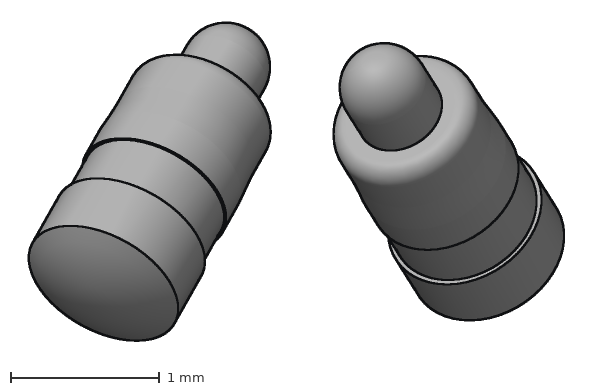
import cadquery as cq
import math


flange_radius = 0.55
body_radius = 0.515
ring_radius = 0.53
plunger_radius = 0.30

dome_height = 0.15
flange_end = 0.60
ring_start = 1.00
ring_end = 1.25
taper_end = 1.50
body_end = 1.88
total_length = 2.50

shoulder_fillet = 0.125
plunger_end = total_length - plunger_radius


def dome_midpoint():
    """Point halfway along the base arc, from the axis to the flange rim."""
    sphere_radius = (flange_radius**2 + dome_height**2) / (2 * dome_height)
    half_angle = math.asin(flange_radius / sphere_radius) / 2
    return (sphere_radius * math.sin(half_angle), sphere_radius * (1 - math.cos(half_angle)))


def make_profile():
    """Half section in the XY plane, closed along the Y axis."""
    diagonal = math.sqrt(0.5)
    fillet_center_x = body_radius - shoulder_fillet
    fillet_center_y = body_end - shoulder_fillet
    fillet_midpoint = (
        fillet_center_x + shoulder_fillet * diagonal,
        fillet_center_y + shoulder_fillet * diagonal,
    )
    tip_midpoint = (plunger_radius * diagonal, plunger_end + plunger_radius * diagonal)
    return (
        cq.Workplane("XY")
        .moveTo(0, total_length)
        .threePointArc(tip_midpoint, (plunger_radius, plunger_end))
        .lineTo(plunger_radius, body_end)
        .lineTo(fillet_center_x, body_end)
        .threePointArc(fillet_midpoint, (body_radius, fillet_center_y))
        .lineTo(body_radius, taper_end)
        .lineTo(ring_radius, ring_end)
        .lineTo(ring_radius, ring_start)
        .lineTo(body_radius, ring_start)
        .lineTo(body_radius, flange_end)
        .lineTo(flange_radius, flange_end)
        .lineTo(flange_radius, dome_height)
        .threePointArc(dome_midpoint(), (0, 0))
        .close()
    )


result = make_profile().revolve(360, (0, 0, 0), (0, 1, 0))